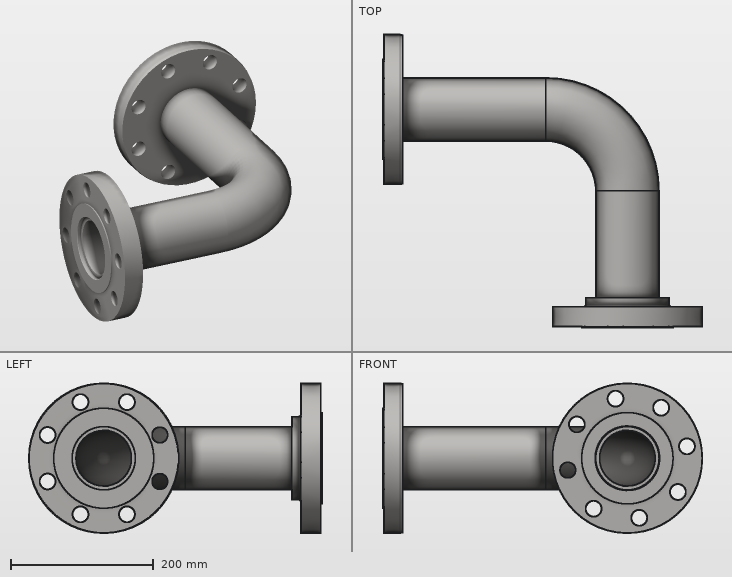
import cadquery as cq

length_x = 448.0
length_y = 411.0
pipe_diameter = 88.5
pipe_bore = 78.0
bend_radius = 114.0

flange_diameter = 210.0
bolt_count = 8
bolt_hole_diameter = 22.0
bolt_spacing_angle = 360 / bolt_count
raised_face_height = 2.0

plain_thickness = 28.0
plain_face_diameter = 140.0
plain_bolt_circle = 170.0
plain_first_hole_angle = bolt_spacing_angle / 2
plain_rim_chamfer_length = 4.0
plain_rim_chamfer_depth = 1.0
plain_pipe_setback = 7.5

hub_flange_thickness = 30.0
hub_face_diameter = 128.0
hub_bolt_circle = 170.0
hub_first_hole_angle = -bolt_spacing_angle / 4
hub_diameter = 117.0
hub_end = 42.5
hub_fillet = 2.5
hub_bore_chamfer = 1.0
hub_pipe_setback = 6.0

axis_x = length_x - flange_diameter / 2
axis_y = length_y - flange_diameter / 2
bend_start_x = axis_x - bend_radius
bend_end_y = axis_y - bend_radius

plain_frame = cq.Plane(origin=(0, axis_y, 0), xDir=(0, 1, 0), normal=(1, 0, 0))
hub_frame = cq.Plane(origin=(axis_x, 0, 0), xDir=(1, 0, 0), normal=(0, 1, 0))


def make_disc(frame, thickness, face_diameter):
    """Flange disc with a raised sealing face."""
    face = cq.Workplane(frame).circle(face_diameter / 2).extrude(raised_face_height)
    disc = (
        cq.Workplane(frame)
        .workplane(offset=raised_face_height)
        .circle(flange_diameter / 2)
        .extrude(thickness - raised_face_height)
    )
    return disc.union(face)


def cut_holes(flange, frame, depth, bolt_circle, first_hole_angle):
    """Cut the pipe bore and the ring of bolt holes through a flange."""
    bore = cq.Workplane(frame).circle(pipe_diameter / 2).extrude(depth)
    bolt_holes = (
        cq.Workplane(frame)
        .polarArray(bolt_circle / 2, first_hole_angle, 360, bolt_count)
        .circle(bolt_hole_diameter / 2)
        .extrude(depth)
    )
    return flange.cut(bore).cut(bolt_holes)


def make_plain_flange():
    """Flat flange whose back rim has a long, shallow chamfer."""
    flange = make_disc(plain_frame, plain_thickness, plain_face_diameter)
    back = flange.faces(">X").val()
    rim = back.Edges()[0]
    chamfered = flange.val().chamfer(plain_rim_chamfer_length, plain_rim_chamfer_depth, [rim])
    return cut_holes(
        cq.Workplane(chamfered), plain_frame, plain_thickness, plain_bolt_circle, plain_first_hole_angle
    )


def make_hub_flange():
    """Flange with a short filleted hub behind it and a chamfered bore mouth."""
    disc = make_disc(hub_frame, hub_flange_thickness, hub_face_diameter)
    hub = (
        cq.Workplane(hub_frame)
        .workplane(offset=hub_flange_thickness)
        .circle(hub_diameter / 2)
        .extrude(hub_end - hub_flange_thickness)
    )
    hub_root = cq.selectors.RadiusNthSelector(0)
    flange = disc.union(hub)
    flange = flange.faces(">Y[-2]").edges(hub_root).fillet(hub_fillet)
    flange = cut_holes(flange, hub_frame, hub_end, hub_bolt_circle, hub_first_hole_angle)
    return flange.faces("<Y").edges(cq.selectors.RadiusNthSelector(0)).chamfer(hub_bore_chamfer)


def make_straight_pipe(frame, start, end):
    """Straight tube along a flange axis, between two distances from the sealing face."""
    return (
        cq.Workplane(frame)
        .workplane(offset=start)
        .circle(pipe_diameter / 2)
        .circle(pipe_bore / 2)
        .extrude(end - start)
    )


def make_elbow():
    """Quarter-bend tube joining the two straight pipes."""
    return (
        cq.Workplane("YZ", origin=(bend_start_x, axis_y, 0))
        .circle(pipe_diameter / 2)
        .circle(pipe_bore / 2)
        .revolve(90, (-bend_radius, 0, 0), (-bend_radius, -1, 0))
    )


plain_flange = make_plain_flange()
hub_flange = make_hub_flange()
pipe_x = make_straight_pipe(plain_frame, plain_pipe_setback, bend_start_x)
pipe_y = make_straight_pipe(hub_frame, hub_pipe_setback, bend_end_y)
elbow = make_elbow()

result = cq.Compound.makeCompound(
    [plain_flange.val(), hub_flange.val(), pipe_x.val(), pipe_y.val(), elbow.val()]
)